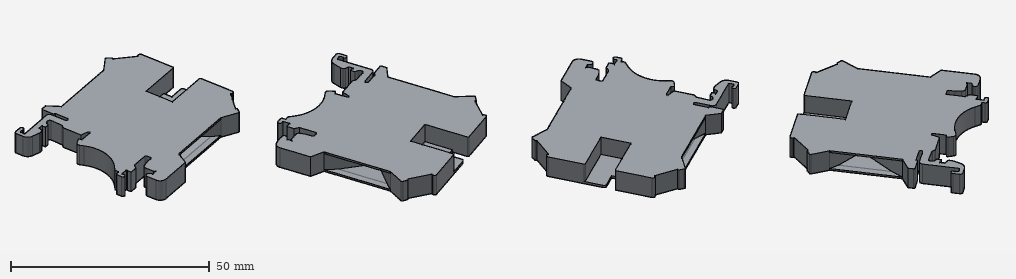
import cadquery as cq
import math

width = 42.8
height = 46.0
thickness = 6.1
half_width = width / 2

waist_x = 17.95
waist_low_y = 16.25
waist_high_y = 34.95
shoulder_y = 14.15

notch_left_x = -4.0
notch_right_x = -1.5
notch_floor_y = 41.45
recess_right_x = -notch_left_x
recess_floor_y = 33.65
recess_web = 0.75
notch_edge_radius = 0.28

entry_wall = 0.55
entry_depth = 5.5
entry_straight_depth = entry_depth / 3
entry_floor_y = (25.6, 29.4)
entry_floor_z = (1.45, 5.2)

catch_x = 17.35
hook_x = -18.95
hook_base_y = 0.16
hook_heel_diameter = 4.0
hook_groove_y = 1.35
slot_top_y = 12.85
slot_bottom_y = 11.85
slot_end_radius = (slot_top_y - slot_bottom_y) / 2
toe_radius = 0.55
toe_top_y = 2 * toe_radius
toe_x = 12.15
neck_x = 10.95
gap_x = 11.45

coincidence = 0.0005


upper_corners = [
    (14.45, height, 0.55),
    (14.45, 45.1, 0),
    (14.15, 44.85, 0),
    (18.75, 40.35, 0),
    (19.15, 40.55, 0.2),
    (20.55, 39.5, 0.35),
    (waist_x, waist_high_y, 0),
    (waist_x, waist_low_y, 0),
    (half_width, shoulder_y, 0),
]

notch_corners = [
    (notch_left_x, height, notch_edge_radius),
    (notch_left_x, notch_floor_y, 0),
    (notch_right_x, notch_floor_y, 0),
    (notch_right_x, height, 0.7),
]

right_foot_corners = [
    (half_width, 3.73, 1.85),
    (16.15, 3.73, 0.7),
    (16.25, 5.0, 0.35),
    (catch_x, 5.45, 0),
    (catch_x, 6.85, 0),
    (16.97, 6.5, 0),
    (13.7, 6.5, 1.0),
    (13.25, 9.0, 0),
    (13.25, 10.95, 0.4),
    (gap_x, 10.95, 0.4),
]

arch_corners = [
    (gap_x, 6.03, 0),
    (12.45, 5.05, 0),
    (12.45, 2.95, 0.25),
    (11.35, 2.95, 0),
    (neck_x, 3.15, 0),
    (neck_x, toe_top_y, 0),
    (toe_x, toe_top_y, toe_radius),
    (toe_x, 0, toe_radius),
    (9.8, 0, toe_radius),
    (9.8, 1.35, 0),
    (8.7, 1.35, 0),
    (3.0, 8.2, 9.9),
    (-5.5, 4.8, 0.87),
    (-6.6, 7.18, 0.35),
    (-5.6, 7.45, 0),
    (-5.6, 11.2, 0.28),
    (-6.15, 11.2, 0.28),
]

hook_corners = [
    (-6.95, 8.92, 0),
    (-12.37, 8.92, 0.28),
    (-13.15, 9.6, 0.28),
    (-17.35, 9.8, 0.6),
    (-17.2, 8.35, 0.6),
    (-16.2, 7.8, 0.2),
    (-16.2, 6.55, 0),
    (-17.15, 6.55, 0),
    (-catch_x, 6.8, 0),
    (-catch_x, 5.45, 0),
    (-16.0, 4.88, 0.65),
    (-16.0, 3.8, 0),
    (-17.2, hook_base_y, hook_heel_diameter / 2),
    (-half_width, hook_base_y, 0.7),
    (-half_width, 3.17, toe_radius),
    (-20.25, 3.17, toe_radius),
    (-20.25, 2.5, 0),
    (-20.4, 2.3, 0),
    (-20.4, hook_groove_y, 0.3),
    (hook_x, hook_groove_y, 0.25),
    (hook_x, slot_bottom_y, 1.0),
    (-13.4, slot_bottom_y, slot_end_radius),
    (-13.4, slot_top_y, slot_end_radius),
    (-17.5, slot_top_y, 0),
    (-17.7, 12.37, 0.2),
    (-half_width, 12.37, 0.3),
]


def rounded_outline(corners):
    """Closed wire through the corners, each rounded by a tangent arc of its own radius."""
    stretches = []
    for index, (x, y, radius) in enumerate(corners):
        corner = cq.Vector(x, y)
        if radius == 0:
            stretches.append((corner,))
            continue
        before = corners[index - 1]
        after = corners[(index + 1) % len(corners)]
        back = (cq.Vector(before[0], before[1]) - corner).normalized()
        ahead = (cq.Vector(after[0], after[1]) - corner).normalized()
        half_angle = back.getAngle(ahead) / 2
        tangent_length = radius / math.tan(half_angle)
        bisector = (back + ahead).normalized()
        middle = corner + bisector * (radius / math.sin(half_angle) - radius)
        stretches.append((corner + back * tangent_length, middle, corner + ahead * tangent_length))

    here = stretches[-1][-1]
    wire = cq.Workplane("XY").moveTo(here.x, here.y)
    for stretch in stretches:
        start = stretch[0]
        if (start - here).Length > coincidence:
            wire = wire.lineTo(start.x, start.y)
        if len(stretch) > 1:
            middle, here = stretch[1:]
            wire = wire.threePointArc((middle.x, middle.y), (here.x, here.y))
        else:
            here = start
    return wire.close()


def make_plate():
    mirrored_upper = [(-x, y, radius) for x, y, radius in reversed(upper_corners)]
    corners = (
        upper_corners + right_foot_corners + arch_corners + hook_corners
        + mirrored_upper + notch_corners
    )
    return rounded_outline(corners).extrude(thickness)


def make_recess():
    """Deep recess behind the notch, leaving a thin web on the bottom face."""
    return (
        cq.Workplane("XY", origin=(0, 0, recess_web))
        .moveTo(notch_left_x, recess_floor_y)
        .lineTo(recess_right_x, recess_floor_y)
        .lineTo(recess_right_x, height - notch_edge_radius)
        .radiusArc((recess_right_x + notch_edge_radius, height), notch_edge_radius)
        .lineTo(notch_left_x, height)
        .close()
        .extrude(thickness)
    )


def make_wire_entry():
    """Funnel in the left side: tapered in Y all the way, in Z only past the straight mouth."""
    floor_x = -waist_x + entry_depth
    straight_x = -waist_x + entry_straight_depth
    mouth_top_z = thickness - entry_wall
    plan = (
        cq.Workplane("XY")
        .polyline([
            (-waist_x, waist_low_y),
            (floor_x, entry_floor_y[0]),
            (floor_x, entry_floor_y[1]),
            (-waist_x, waist_high_y),
        ])
        .close()
        .extrude(thickness)
    )
    section = (
        cq.Workplane("XZ")
        .polyline([
            (-waist_x, entry_wall),
            (straight_x, entry_wall),
            (floor_x, entry_floor_z[0]),
            (floor_x, entry_floor_z[1]),
            (straight_x, mouth_top_z),
            (-waist_x, mouth_top_z),
        ])
        .close()
        .extrude(-height)
    )
    return plan.intersect(section)


left_entry = make_wire_entry()
right_entry = left_entry.mirror("YZ")

result = make_plate().cut(make_recess()).cut(left_entry).cut(right_entry)